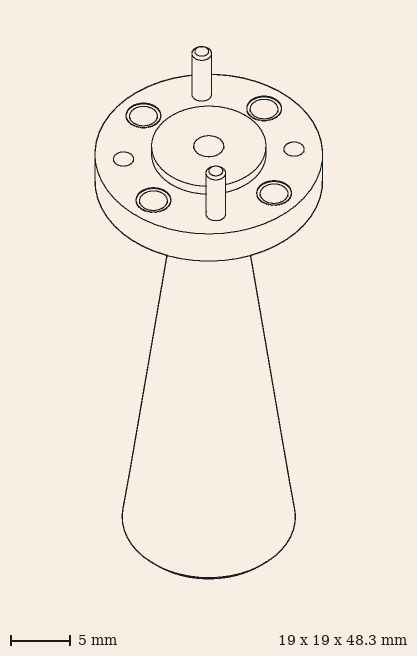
import cadquery as cq

total_height = 48.3
pin_length = 5.0
flange_thickness = 3.2
boss_height = 0.9
flange_top = total_height - pin_length
flange_bottom = flange_top - flange_thickness
boss_top = flange_top + boss_height

flange_radius = 9.5
boss_radius = 4.8
bore_diameter = 2.5
collar_radius = 2.85
collar_height = 0.3
neck_radius = 2.45
mouth_radius = 7.25
mouth_chamfer_width = 0.65
mouth_chamfer_height = 0.75

pattern_radius = 7.15
screw_hole_diameter = 2.3
counterbore_diameter = 2.9
counterbore_depth = 0.1
pin_diameter = 1.65
pin_chamfer = 0.25
pin_hole_diameter = 1.7


def make_body():
    """Conical horn, collar, flange and boss revolved about Z."""
    profile = [
        (0, 0),
        (mouth_radius - mouth_chamfer_width, 0),
        (mouth_radius, mouth_chamfer_height),
        (neck_radius, flange_bottom - collar_height),
        (collar_radius, flange_bottom),
        (flange_radius, flange_bottom),
        (flange_radius, flange_top),
        (boss_radius, flange_top),
        (boss_radius, boss_top),
        (0, boss_top),
    ]
    return cq.Workplane("XZ").polyline(profile).close().revolve(360, (0, 0), (0, 1))


def flange_pattern(start_angle, count):
    """Points equally spread on the pattern circle at the flange top."""
    return cq.Workplane("XY", origin=(0, 0, flange_top)).polarArray(
        pattern_radius, start_angle, 360, count
    )


def make_screw_holes():
    """Clearance holes through the flange with a shallow counterbore at the top."""
    holes = flange_pattern(0, 4).circle(screw_hole_diameter / 2).extrude(-flange_thickness)
    counterbores = flange_pattern(0, 4).circle(counterbore_diameter / 2).extrude(-counterbore_depth)
    return holes.union(counterbores)


def make_pins():
    """Two alignment pins with chamfered tips."""
    pins = flange_pattern(135, 2).circle(pin_diameter / 2).extrude(pin_length)
    return pins.faces(">Z").edges().chamfer(pin_chamfer)


pin_holes = flange_pattern(45, 2).circle(pin_hole_diameter / 2).extrude(-flange_thickness)
bore = cq.Workplane("XY").circle(bore_diameter / 2).extrude(boss_top)

result = make_body().cut(bore).cut(make_screw_holes()).cut(pin_holes).union(make_pins())